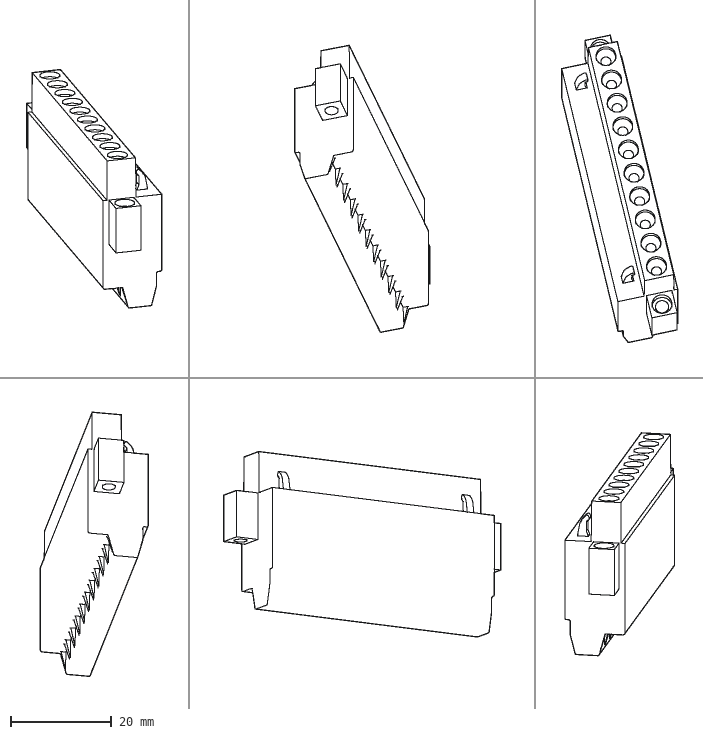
import cadquery as cq


overall_length = 60.6
pole_count = 10
pole_pitch = 5.1
body_depth = 12.2
shelf_height = 23.45
total_height = 31.8

body_length = pole_count * pole_pitch

skirt_bottom = 4.55
foot_front_top = 4.05
foot_front_bottom = 5.3
foot_back_bottom = 10.05
foot_back = 11.1
back_taper_height = 4.0
back_step_height = 7.1
edge_radius = 0.35
skirt_edge_radius = 0.5
foot_root_radius = 0.2

block_front_top = 0.85
block_front_bottom = 0.8
block_back_top = 6.7
block_back_bottom = 6.85

screw_line = 3.75
screw_diameter = 3.95
screw_bore_depth = 1.0
screw_floor_diameter = 2.0
screw_cone_depth = 2.0

lug_front = 1.2
lug_back = 6.35
lug_bottom = 14.0
lug_hole_diameter = 2.6
lug_counterbore_diameter = 3.95
lug_counterbore_depth = 1.45

lug_length = (overall_length - body_length) / 2
lug_hole_offset = (body_length + lug_length) / 2

pocket_bottom = 0.9
pocket_top_width = 3.35
pocket_bottom_width = 4.35

latch_width = 1.5
latch_inset = 4.35
latch_embed = 0.3
latch_root_front = 8.1
latch_root_back = 10.35
latch_neck_front = 8.55
latch_neck_bottom = 24.55
latch_neck_top = 26.4
hook_bend_start = (9.8, 26.2)
hook_bend_middle = (9.5, 26.8)
hook_bend_end = (9.15, 27.2)
hook_crown_start = (8.7, 27.65)
hook_crown = (8.35, 27.8)
hook_crown_end = (8.05, 27.6)
hook_nose = (7.95, 27.15)
hook_underside = (8.05, 26.85)


def extrude_along_row(profile, length, center=0.0):
    """Extrude a closed (Y, Z) profile along X, centred on the given X."""
    return profile.extrude(length / 2, both=True).translate((center, 0, 0))


def box_between(x_range, y_range, z_range):
    """Box given by its lower and upper limits along each axis."""
    lows, highs = zip(x_range, y_range, z_range)
    sizes = [high - low for low, high in zip(lows, highs)]
    return cq.Workplane("XY").box(*sizes, centered=False).translate(lows)


def make_body():
    lower_profile = cq.Workplane("YZ").polyline([
        (0, shelf_height),
        (0, skirt_bottom),
        (foot_front_top, skirt_bottom),
        (foot_front_bottom, 0),
        (foot_back_bottom, 0),
        (foot_back, back_taper_height),
        (foot_back, back_step_height),
        (body_depth, back_step_height),
        (body_depth, shelf_height),
    ]).close()
    lower = extrude_along_row(lower_profile, body_length)
    rounded_corners = [
        (0, skirt_bottom, skirt_edge_radius),
        (foot_front_top, skirt_bottom, foot_root_radius),
        (foot_front_bottom, 0, edge_radius),
        (foot_back_bottom, 0, edge_radius),
        (foot_back, back_step_height, edge_radius),
        (body_depth, back_step_height, edge_radius),
    ]
    for y, z, radius in rounded_corners:
        lower = lower.edges(cq.NearestToPointSelector((0, y, z))).fillet(radius)

    block_profile = cq.Workplane("YZ").polyline([
        (block_front_bottom, shelf_height),
        (block_front_top, total_height),
        (block_back_top, total_height),
        (block_back_bottom, shelf_height),
    ]).close()
    return lower.union(extrude_along_row(block_profile, body_length))


def make_lug(side):
    inner = side * body_length / 2
    outer = side * overall_length / 2
    return box_between(sorted((inner, outer)), (lug_front, lug_back), (lug_bottom, shelf_height))


def lug_hole(side):
    seat = shelf_height - lug_counterbore_depth
    through = cq.Workplane("XY", origin=(0, 0, lug_bottom)).circle(lug_hole_diameter / 2)
    counterbore = cq.Workplane("XY", origin=(0, 0, seat)).circle(lug_counterbore_diameter / 2)
    hole = through.extrude(shelf_height - lug_bottom).union(counterbore.extrude(lug_counterbore_depth))
    return hole.translate((side * lug_hole_offset, screw_line, 0))


def make_latch(side):
    profile = (
        cq.Workplane("YZ")
        .moveTo(latch_root_back, shelf_height - latch_embed)
        .lineTo(latch_root_back, shelf_height)
        .lineTo(*hook_bend_start)
        .threePointArc(hook_bend_middle, hook_bend_end)
        .lineTo(*hook_crown_start)
        .threePointArc(hook_crown, hook_crown_end)
        .lineTo(*hook_nose)
        .lineTo(*hook_underside)
        .lineTo(latch_neck_front, latch_neck_top)
        .lineTo(latch_neck_front, latch_neck_bottom)
        .lineTo(latch_root_front, shelf_height)
        .lineTo(latch_root_front, shelf_height - latch_embed)
        .close()
    )
    return extrude_along_row(profile, latch_width, side * (body_length / 2 - latch_inset))


def screw_hole():
    """Cutter for one screw hole, revolved about its own vertical axis."""
    cone_top = total_height - screw_bore_depth
    floor = cone_top - screw_cone_depth
    half_section = cq.Workplane("XZ").polyline([
        (0, total_height),
        (screw_diameter / 2, total_height),
        (screw_diameter / 2, cone_top),
        (screw_floor_diameter / 2, floor),
        (0, floor),
    ]).close()
    return half_section.revolve(360, (0, 0, 0), (0, 1, 0)).translate((0, screw_line, 0))


def foot_pocket():
    """Cutter for one pocket: upright floor that runs out in the sloped foot at the pocket's lower edge."""
    foot_slope = (foot_front_bottom - foot_front_top) / skirt_bottom
    floor_y = foot_front_bottom - foot_slope * pocket_bottom
    outline = cq.Workplane("XZ", origin=(0, floor_y, 0)).polyline([
        (-pocket_bottom_width / 2, pocket_bottom),
        (pocket_bottom_width / 2, pocket_bottom),
        (pocket_top_width / 2, skirt_bottom),
        (-pocket_top_width / 2, skirt_bottom),
    ]).close()
    return outline.extrude(floor_y)


result = make_body()
for side in (-1, 1):
    result = result.union(make_lug(side)).union(make_latch(side)).cut(lug_hole(side))

screw_cutter = screw_hole()
pocket_cutter = foot_pocket()
for pole in range(pole_count):
    pole_x = (pole - (pole_count - 1) / 2) * pole_pitch
    result = result.cut(screw_cutter.translate((pole_x, 0, 0)))
    result = result.cut(pocket_cutter.translate((pole_x, 0, 0)))